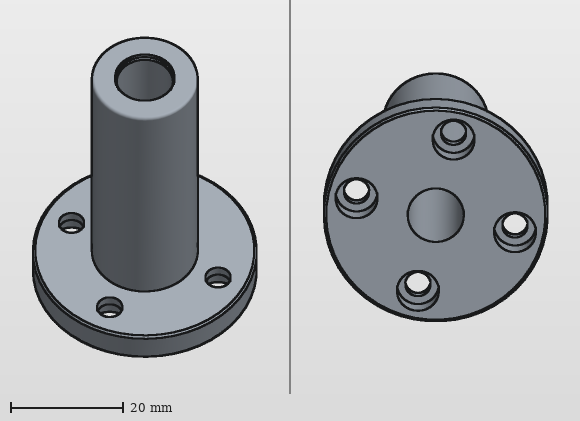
import cadquery as cq

total_height = 55.0
flange_diameter = 40.0
flange_thickness = 6.0
flange_chamfer = 0.45
tube_diameter = 19.0
tube_edge_radius = 0.6

bore_diameter = 10.0
lip_diameter = 10.6
groove_diameter = 11.2
recess_depth = 1.15
lip_height = 0.75

hole_count = 4
hole_circle_diameter = 29.0
hole_diameter = 4.5
counterbore_diameter = 7.5
counterbore_depth = 4.0


def make_cylinder(diameter, bottom, top):
    return cq.Workplane("XY", origin=(0, 0, bottom)).circle(diameter / 2).extrude(top - bottom)


def make_flange():
    disc = make_cylinder(flange_diameter, 0, flange_thickness)
    return disc.edges().chamfer(flange_chamfer)


def make_tube():
    tube = make_cylinder(tube_diameter, 0, total_height)
    return tube.faces(">Z").edges().fillet(tube_edge_radius)


def make_bore():
    recess_floor = total_height - recess_depth
    bore = make_cylinder(bore_diameter, 0, total_height)
    lip = make_cylinder(lip_diameter, recess_floor, total_height)
    groove = make_cylinder(groove_diameter, recess_floor, total_height - lip_height)
    return bore.union(lip).union(groove)


def make_mounting_holes():
    centres = cq.Workplane("XY").polarArray(hole_circle_diameter / 2, 0, 360, hole_count)
    holes = centres.circle(hole_diameter / 2).extrude(flange_thickness)
    counterbores = centres.circle(counterbore_diameter / 2).extrude(counterbore_depth)
    return holes.union(counterbores)


body = make_flange().union(make_tube())
result = body.cut(make_bore()).cut(make_mounting_holes())